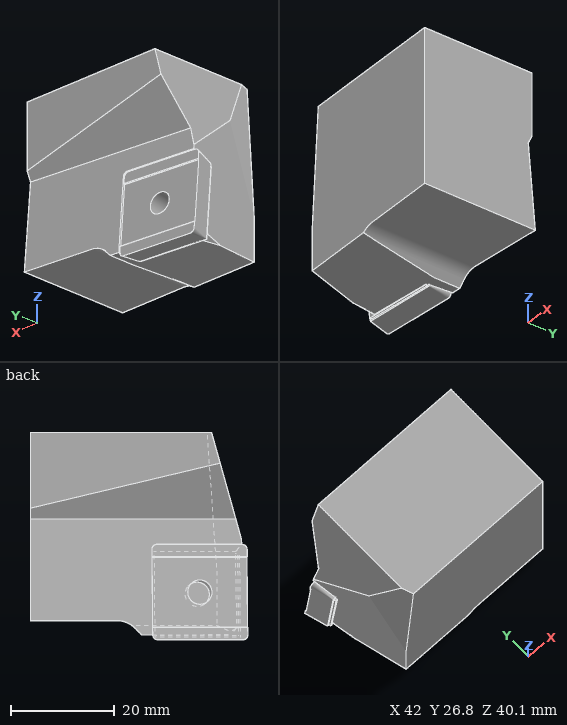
import cadquery as cq
import math


back_y = 26.05
heel_z = -36.37
lip_z = -39.15
top_left_x = -35.0
left_face_slope = 0.28
lip_end_x = -21.5
cove_radius = 4.7
margin = 8.4
blank_left_x = top_left_x + left_face_slope * (lip_z - margin)
blank_depth = back_y + margin

flank_front_x = -36.05
flank_slope = 0.224
underside_front_z = -37.3
underside_slope = 0.1
facet_top_x = -34.1
facet_bottom_z = -27.65
facet_apex_y = 8.5
toe_start_y = 11.85
toe_end_y = 16.9
toe_width = 1.05
toe_height = 1.25

gullet_turn = math.radians(6)
gullet_lean = math.radians(4.9)
gullet_top_z = -16.7
gullet_top_y = 25.1
gullet_run_out_slope = 0.44

insert_center = (-32.7, 22.6, -30.83)
insert_side = 18.52
insert_thickness = 5.0
insert_corner_radius = 1.0
relief_angle = 11.0
insert_bore = 4.7
land_width = 2.35
channel_depth = 0.15
channel_wall_angle = 45.0
seat_height = 0.5
seat_inset = 0.35

along_gullet = cq.Vector(math.cos(gullet_turn), math.sin(gullet_turn), 0)
rake_normal = cq.Vector(
    -math.sin(gullet_turn) * math.cos(gullet_lean),
    math.cos(gullet_turn) * math.cos(gullet_lean),
    math.sin(gullet_lean),
)
rake_plane = cq.Plane(origin=insert_center, xDir=along_gullet, normal=rake_normal)


def make_blank():
    """Front outline with the leaning left face and the cove behind the lip."""
    bend = math.radians(45)
    cove_end_z = heel_z - cove_radius * (1 - math.cos(bend))
    cove_end_x = lip_end_x + (cove_end_z - lip_z)
    cove_start_x = cove_end_x + cove_radius * math.sin(bend)
    cove_mid = (
        cove_start_x - cove_radius * math.sin(bend / 2),
        heel_z - cove_radius * (1 - math.cos(bend / 2)),
    )
    return (
        cq.Workplane("XZ")
        .moveTo(0, 0)
        .lineTo(top_left_x, 0)
        .lineTo(top_left_x + left_face_slope * lip_z, lip_z)
        .lineTo(lip_end_x, lip_z)
        .lineTo(cove_end_x, cove_end_z)
        .threePointArc(cove_mid, (cove_start_x, heel_z))
        .lineTo(0, heel_z)
        .close()
        .extrude(-blank_depth)
    )


def make_flank_limit():
    """Everything on the inner side of the vertical flank."""
    return (
        cq.Workplane("XY")
        .polyline([
            (0, 0),
            (flank_front_x, 0),
            (flank_front_x - flank_slope * blank_depth, blank_depth),
            (0, blank_depth),
        ])
        .close()
        .extrude(lip_z)
    )


def make_underside_limit():
    """Everything above the sloping underside."""
    return (
        cq.Workplane("YZ")
        .polyline([
            (0, 0),
            (0, underside_front_z),
            (blank_depth, underside_front_z - underside_slope * blank_depth),
            (blank_depth, 0),
        ])
        .close()
        .extrude(blank_left_x)
    )


def half_space(first, second, third):
    """Large block on the +X side of the plane through three points."""
    inward = (second - first).cross(third - first)
    if inward.x < 0:
        inward = inward * -1
    reach = 4 * blank_depth
    return cq.Workplane(cq.Plane(origin=first, normal=inward)).rect(reach, reach).extrude(reach)


def make_corner_facet_limit():
    """Everything behind the plane that cuts the upper left front corner."""
    apex_x = flank_front_x - flank_slope * facet_apex_y
    apex_z = (apex_x - top_left_x) / left_face_slope
    top = cq.Vector(facet_top_x, 0, 0)
    bottom = cq.Vector(flank_front_x, 0, facet_bottom_z)
    apex = cq.Vector(apex_x, facet_apex_y, apex_z)
    return half_space(top, bottom, apex)


def make_toe_facet_limit():
    """Everything behind the small facet between flank and underside."""

    def lower_edge(y):
        return cq.Vector(flank_front_x - flank_slope * y, y, underside_front_z - underside_slope * y)

    start = lower_edge(toe_start_y)
    end = lower_edge(toe_end_y)
    on_flank = end + cq.Vector(0, 0, toe_height)
    on_underside = end + cq.Vector(toe_width, 0, 0)
    return half_space(start, on_flank, on_underside)


def make_upper_back_cut():
    """Trims the block above the gullet to its flat back face."""
    width = -blank_left_x
    return cq.Workplane("XY").box(width, margin, -gullet_top_z, centered=False).translate(
        (blank_left_x, back_y, gullet_top_z)
    )


def make_gullet_cut():
    """Leaning floor and sloping run-out, swept along the gullet direction."""
    section_plane = cq.Plane(origin=(0, 0, 0), xDir=(-along_gullet.y, along_gullet.x, 0), normal=along_gullet)
    turn_scale = math.cos(gullet_turn)
    floor_y = gullet_top_y * turn_scale
    drop = gullet_top_z - lip_z + margin
    floor_end_y = floor_y + drop * math.tan(gullet_lean)
    run_out_y = floor_y - gullet_top_z * gullet_run_out_slope
    outer_y = blank_depth + margin
    return (
        cq.Workplane(section_plane)
        .polyline([
            (floor_y, gullet_top_z),
            (floor_end_y, gullet_top_z - drop),
            (outer_y, gullet_top_z - drop),
            (outer_y, 0),
            (run_out_y, 0),
        ])
        .close()
        .extrude(-blank_left_x + margin, both=True)
    )


def make_insert_envelope():
    """Square, tapered insert shape without chip channel or bore."""
    return (
        cq.Workplane(rake_plane)
        .sketch()
        .rect(insert_side, insert_side)
        .vertices()
        .fillet(insert_corner_radius)
        .finalize()
        .extrude(-insert_thickness, taper=relief_angle)
    )


def make_pocket_cut():
    """Insert space, open to the gullet above the rake face."""
    opening = (
        cq.Workplane(rake_plane)
        .sketch()
        .rect(insert_side, insert_side)
        .vertices()
        .fillet(insert_corner_radius)
        .finalize()
        .extrude(margin)
    )
    return make_insert_envelope().union(opening)


def make_seat():
    """Thin pedestal that carries the underside of the insert."""
    narrowing = insert_thickness * math.tan(math.radians(relief_angle))
    side = insert_side - 2 * (narrowing + seat_inset)
    return (
        cq.Workplane(rake_plane)
        .workplane(offset=-insert_thickness)
        .rect(side, side)
        .extrude(-seat_height)
    )


def make_holder():
    holder = make_blank()
    for limit in (make_flank_limit(), make_underside_limit(), make_corner_facet_limit(), make_toe_facet_limit()):
        holder = holder.intersect(limit)
    holder = holder.cut(make_upper_back_cut()).cut(make_gullet_cut())
    return holder.union(make_seat()).cut(make_pocket_cut())


def make_insert():
    channel = (
        cq.Workplane(rake_plane)
        .rect(insert_side + margin, insert_side - 2 * land_width)
        .extrude(-channel_depth, taper=channel_wall_angle)
    )
    bore = cq.Workplane(rake_plane).circle(insert_bore / 2).extrude(-insert_thickness)
    return make_insert_envelope().cut(channel).cut(bore)


holder = make_holder()
insert = make_insert()
result = cq.Compound.makeCompound([holder.val(), insert.val()])